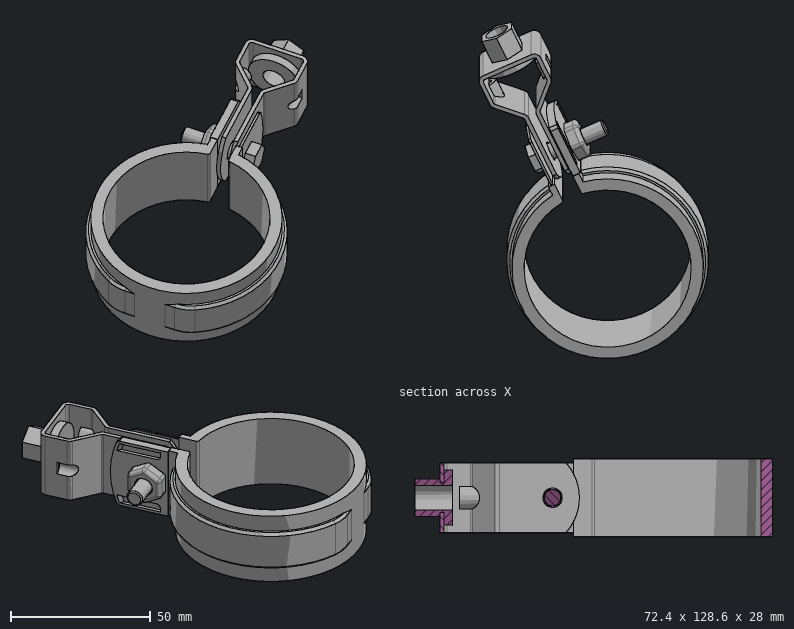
import cadquery as cq
import math

RING_INNER_R = 30.0
RING_OUTER_R = 34.3
RING_HEIGHT = 28.0
GAP_HALF = 3.6
TAB_HALF = 6.0
TAB_TOP = 37.3
TAB_ROUND = 0.9
BAND_OUTER_R = 72.4 / 2
BAND_HEIGHT = 15.2
BAND_CHAMFER = 1.0
BAND_FLAT_Y = -33.8
BAND_FLAT_ROUND = 15.5

BOLT_Y = 44.8
BOLT_D = 6.0
BOLT_TIP_X = -20.1
BOLT_TIP_CHAMFER = 0.5
BOLT_HEAD_FLATS = 10.0
BOLT_HEAD_LENGTH = 4.0
BOLT_HOLE_D = 7.0

LUG_END_R = 37.3
LUG_CORNER = 0.9

LUG_THICKNESS = 3.0
LUG_WIDTH = 27.5
LUG_TOP = 59.7
POCKET_DEPTH = 1.3
POCKET_BOTTOM = 40.3
POCKET_INNER_Z = 9.5
POCKET_OUTER_Z = 12.6
POCKET_ROUND = 1.5
POCKET_RIM = 1.22

PLATE_THICKNESS = 0.9
PLATE_WIDTH = 25.2
PLATE_TOP = 58.0

NUT_DIAMETER = 15.0
NUT_LENGTH = 5.0
NUT_ROUND = 1.5

SHEET = 1.5
HANGER_WIDTH = 25.2
HANGER_HALF = 12.1
HANGER_TOP = 85.3
SHOULDER_Y = 73.2
LEG_HALF = 3.1
LEG_BOTTOM = 35.1
LEG_END_R = 18.7
BEND_INNER_R = 1.0
BEND_OUTER_R = BEND_INNER_R + SHEET
DIMPLE_D = 4.9
DIMPLE_OUTER_D = 8.7
DIMPLE_TOP = 78.2

OVERALL_LENGTH = 128.6
CONNECTOR_TOP = OVERALL_LENGTH - RING_OUTER_R
CONNECTOR_FLATS = 11.8
CONNECTOR_NECK_D = 10.5
CONNECTOR_BORE_D = 8.5
FLANGE_D = 20.0
FLANGE_THICKNESS = 3.1

LUG_OUTER_X = -GAP_HALF - LUG_THICKNESS
PLATE_INNER_X = (GAP_HALF + TAB_HALF - PLATE_THICKNESS) / 2
PLATE_OUTER_X = PLATE_INNER_X + PLATE_THICKNESS
HEX_CORNER_RATIO = 1 / math.cos(math.pi / 6)


def rod_x(diameter, start_x, end_x, y=BOLT_Y):
    """Cylinder along X."""
    return cq.Workplane("YZ", origin=(start_x, y, 0)).circle(diameter / 2).extrude(end_x - start_x)


def rod_y(diameter, start_y, end_y, x=0):
    """Cylinder along Y."""
    return cq.Workplane("XZ", origin=(x, start_y, 0)).circle(diameter / 2).extrude(start_y - end_y)


def block(x_range, y_range, height):
    """Box between two X and two Y values, centred on Z = 0."""
    width = x_range[1] - x_range[0]
    depth = y_range[1] - y_range[0]
    centre = (x_range[0] + width / 2, y_range[0] + depth / 2, 0)
    return cq.Workplane("XY").box(width, depth, height).translate(centre)


def disc(radius, height):
    return cq.Workplane("XY").circle(radius).extrude(height / 2, both=True)


def bolt_hole():
    return rod_x(BOLT_HOLE_D, -HANGER_HALF, HANGER_HALF)


def make_band():
    """Raised chamfered band, flattened at the bottom and open between the tabs."""
    size = 2 * BAND_OUTER_R
    band = disc(BAND_OUTER_R, BAND_HEIGHT)
    band = band.cut(block((-size, size), (-size, BAND_FLAT_Y), size))
    band = band.edges("|Z").edges("<Y").fillet(BAND_FLAT_ROUND)
    band = band.faces("|Z").edges().chamfer(BAND_CHAMFER)
    return band.cut(block((-TAB_HALF, TAB_HALF), (0, size), size))


def make_ring():
    tabs = block((-TAB_HALF, TAB_HALF), (RING_INNER_R, TAB_TOP), RING_HEIGHT)
    ring = disc(RING_OUTER_R, RING_HEIGHT).union(make_band()).union(tabs)
    ring = ring.cut(disc(RING_INNER_R, RING_HEIGHT))
    ring = ring.cut(block((-GAP_HALF, GAP_HALF), (0, TAB_TOP), RING_HEIGHT))
    gap_corner_y = math.sqrt(RING_INNER_R**2 - GAP_HALF**2)
    for x in (-GAP_HALF, GAP_HALF):
        corner = cq.selectors.NearestToPointSelector((x, gap_corner_y, 0))
        ring = ring.edges("|Z").edges(corner).fillet(TAB_ROUND)
    return ring


def make_pocket():
    """Upper lug pocket: a slot whose end ramps up to the rim along the lug's curved end."""
    slot = (
        cq.Workplane("XY")
        .box(POCKET_DEPTH, LUG_TOP - POCKET_BOTTOM, POCKET_OUTER_Z - POCKET_INNER_Z, centered=False)
        .translate((LUG_OUTER_X, POCKET_BOTTOM, POCKET_INNER_Z))
        .edges("|X").edges("<Y").edges("<Z").fillet(POCKET_ROUND)
    )
    ramp = (
        cq.Workplane("YZ", origin=(LUG_OUTER_X, LUG_TOP - LUG_END_R, 0))
        .circle(LUG_END_R - POCKET_RIM)
        .extrude(POCKET_DEPTH, taper=45)
    )
    return slot.intersect(ramp)


def lug_blank(start_x, thickness, width, top):
    """Plate standing on a ring tab, with an arc for its free end and a clearance hole for the bolt."""
    half = width / 2
    shoulder_y = top - LUG_END_R + math.sqrt(LUG_END_R**2 - half**2)
    blank = (
        cq.Workplane("YZ", origin=(start_x, 0, 0))
        .moveTo(TAB_TOP, -half)
        .lineTo(shoulder_y, -half)
        .threePointArc((top, 0), (shoulder_y, half))
        .lineTo(TAB_TOP, half)
        .close()
        .extrude(thickness)
        .edges("|X").edges(">Y").chamfer(LUG_CORNER)
    )
    return blank.cut(bolt_hole())


def make_lug():
    pocket = make_pocket()
    lug = lug_blank(LUG_OUTER_X, LUG_THICKNESS, LUG_WIDTH, LUG_TOP)
    return lug.cut(pocket).cut(pocket.mirror("XY"))


def make_plate():
    return lug_blank(PLATE_INNER_X, PLATE_THICKNESS, PLATE_WIDTH, PLATE_TOP)


def make_bolt():
    head_corners = BOLT_HEAD_FLATS * HEX_CORNER_RATIO
    shank = rod_x(BOLT_D, BOLT_TIP_X, PLATE_OUTER_X).faces("<X").chamfer(BOLT_TIP_CHAMFER)
    head = (
        cq.Workplane("YZ", origin=(PLATE_OUTER_X, BOLT_Y, 0))
        .polygon(6, head_corners)
        .extrude(BOLT_HEAD_LENGTH)
    )
    return shank.union(head)


def make_nut():
    nut = (
        cq.Workplane("YZ", origin=(LUG_OUTER_X, BOLT_Y, 0))
        .transformed(rotate=(0, 0, 30))
        .polygon(6, NUT_DIAMETER)
        .extrude(-NUT_LENGTH)
        .edges("|X or <X").fillet(NUT_ROUND)
    )
    return nut.cut(bolt_hole())


def hanger_outline(inset, bottom, corner_r, leg_bend_r):
    """Filled hanger outline, moved inward by `inset`, with its bends rounded."""
    side = HANGER_HALF - inset
    leg = LEG_HALF - inset
    shift = inset * math.tan(math.pi / 8)
    shoulder_y = SHOULDER_Y + shift
    neck_y = shoulder_y - (side - leg)
    half_points = [(leg, bottom), (leg, neck_y), (side, shoulder_y), (side, HANGER_TOP - inset)]
    mirrored_points = [(-x, y) for x, y in reversed(half_points)]
    outline = (
        cq.Workplane("XY")
        .polyline(half_points + mirrored_points)
        .close()
        .extrude(HANGER_WIDTH / 2, both=True)
    )
    for x, y in half_points[1:] + mirrored_points[:-1]:
        bend_r = leg_bend_r if y == neck_y else corner_r
        corner = cq.selectors.NearestToPointSelector((x, y, 0))
        outline = outline.edges("|Z").edges(corner).fillet(bend_r)
    return outline


def make_hanger():
    outer = hanger_outline(0, LEG_BOTTOM, BEND_OUTER_R, BEND_INNER_R)
    inner = hanger_outline(SHEET, LEG_BOTTOM, BEND_INNER_R, BEND_OUTER_R)
    hanger = outer.cut(inner)

    for x in (-HANGER_HALF, HANGER_HALF):
        pressed = rod_y(DIMPLE_OUTER_D, LEG_BOTTOM + LEG_END_R, DIMPLE_TOP, x)
        hollow = rod_y(DIMPLE_D, LEG_BOTTOM + LEG_END_R, DIMPLE_TOP, x)
        hanger = hanger.union(pressed.intersect(outer)).cut(hollow)

    leg_end = rod_x(2 * LEG_END_R, -HANGER_HALF, HANGER_HALF, LEG_BOTTOM + LEG_END_R)
    upper = block((-HANGER_HALF, HANGER_HALF), (LEG_BOTTOM + LEG_END_R, HANGER_TOP), HANGER_WIDTH)
    hanger = hanger.intersect(leg_end.union(upper))

    neck_hole = rod_y(CONNECTOR_NECK_D, HANGER_TOP - SHEET, HANGER_TOP)
    return hanger.cut(bolt_hole()).cut(neck_hole)


def make_connector():
    wall_inner_y = HANGER_TOP - SHEET
    flange_y = wall_inner_y - FLANGE_THICKNESS
    hexagon = (
        cq.Workplane("XZ", origin=(0, HANGER_TOP, 0))
        .transformed(rotate=(0, 0, 30))
        .polygon(6, CONNECTOR_FLATS * HEX_CORNER_RATIO)
        .extrude(HANGER_TOP - CONNECTOR_TOP)
    )
    neck = rod_y(CONNECTOR_NECK_D, wall_inner_y, HANGER_TOP)
    flange = rod_y(FLANGE_D, flange_y, wall_inner_y)
    return hexagon.union(neck).union(flange).cut(rod_y(CONNECTOR_BORE_D, flange_y, CONNECTOR_TOP))


ring = make_ring()
lug = make_lug()
plate = make_plate()
hanger = make_hanger()
connector = make_connector()
bolt = make_bolt()
nut = make_nut()

result = cq.Compound.makeCompound(
    [ring.val(), lug.val(), plate.val(), hanger.val(), connector.val(), bolt.val(), nut.val()]
)